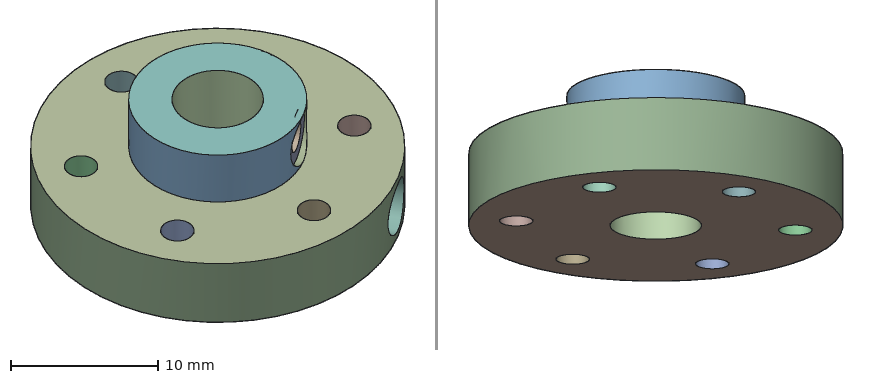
import cadquery as cq

flange_diameter = 25.4
flange_thickness = 5.13
hub_diameter = 12.1
hub_height = 4.1
bore_diameter = 6.2
total_height = flange_thickness + hub_height

mount_hole_count = 6
mount_hole_diameter = 2.25
mount_circle_radius = 9.52
mount_start_angle = 28.6

screw_hole_diameter = 2.25
counterbore_diameter = 4.06
counterbore_floor_x = 5.54
screw_heights = [flange_thickness / 2, flange_thickness + hub_height / 2]


def make_body():
    """Round flange with a concentric hub on top."""
    flange = cq.Workplane("XY").circle(flange_diameter / 2).extrude(flange_thickness)
    return flange.faces(">Z").workplane().circle(hub_diameter / 2).extrude(hub_height)


def make_bore():
    return cq.Workplane("XY").circle(bore_diameter / 2).extrude(total_height)


def make_mount_holes():
    return (
        cq.Workplane("XY")
        .polarArray(mount_circle_radius, mount_start_angle, 360, mount_hole_count)
        .circle(mount_hole_diameter / 2)
        .extrude(flange_thickness)
    )


def make_screw_hole(z):
    """Radial hole from the bore out along +X, with a counterbore open to the outside."""
    axis_plane = cq.Workplane("YZ").center(0, z)
    hole = axis_plane.circle(screw_hole_diameter / 2).extrude(flange_diameter / 2)
    counterbore = (
        axis_plane.workplane(offset=counterbore_floor_x)
        .circle(counterbore_diameter / 2)
        .extrude(flange_diameter / 2 - counterbore_floor_x)
    )
    return hole.union(counterbore)


result = make_body().cut(make_bore()).cut(make_mount_holes())
for height in screw_heights:
    result = result.cut(make_screw_hole(height))